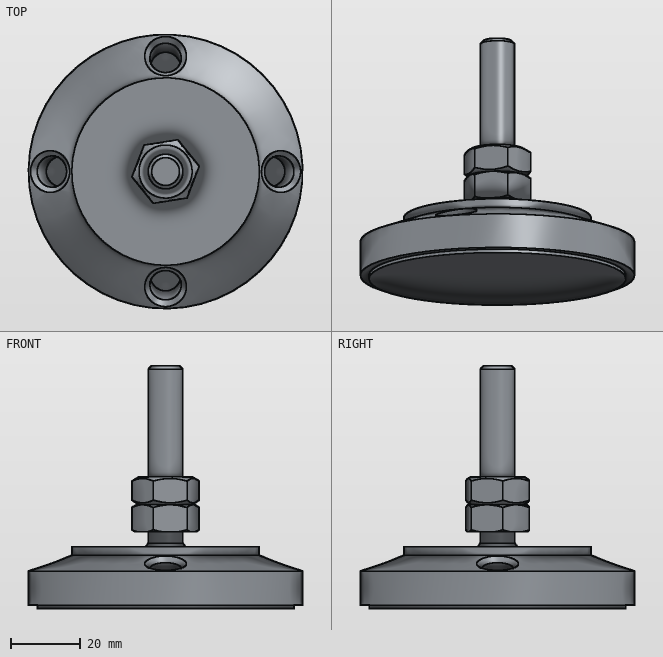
import cadquery as cq
import math

housing_diameter = 79.0
top_diameter = 54.0
housing_bottom = 1.0
rim_top = 10.85
shoulder_angle = 20.0
top_step_height = 2.5
shoulder_width = (housing_diameter - top_diameter) / 2
shoulder_top = rim_top + shoulder_width * math.tan(math.radians(shoulder_angle))
housing_top = shoulder_top + top_step_height

pad_diameter = 74.0
pad_thickness = 3.0

mounting_hole_count = 4
hole_spacing = 360 / mounting_hole_count
mounting_hole_diameter = 9.0
countersink_depth = 1.5
mounting_hole_length = 20.0
hole_circle_radius = (housing_diameter + top_diameter) / 4
hole_mouth_height = (rim_top + shoulder_top) / 2

overall_height = 70.03
rod_diameter = 10.0
rod_tip_chamfer = 1.0
foot_diameter = 12.95
flare_top = housing_top + 1.0
flare_height = 2.0

hex_across_flats = 17.0
hex_corner_diameter = hex_across_flats / math.cos(math.radians(30))
hex_turn = 9.0
hex_chamfer_angle = 30.0
stem_hex_bottom = 22.15
stem_hex_bottom_face = 17.6
stem_hex_top_face = 16.7
nut_bottom = 30.0
nut_top = 38.0
nut_face_diameter = 0.9 * hex_across_flats


def revolve_profile(points):
    """Turn a closed (radius, height) outline around the Z axis."""
    return cq.Workplane("XZ").polyline(points).close().revolve(360, (0, 0, 0), (0, 1, 0))


def cylinder(diameter, bottom, top):
    return cq.Workplane("XY").workplane(offset=bottom).circle(diameter / 2).extrude(top - bottom)


def corner_chamfer_height(face_diameter):
    return (hex_corner_diameter - face_diameter) / 2 * math.tan(math.radians(hex_chamfer_angle))


def chamfered_hexagon(bottom, top, bottom_face, top_face):
    """Hexagonal prism whose corners are turned down to a round face at each end."""
    prism = (
        cq.Workplane("XY")
        .workplane(offset=bottom)
        .polygon(6, hex_corner_diameter)
        .extrude(top - bottom)
        .rotate((0, 0, 0), (0, 0, 1), hex_turn)
    )
    turned_envelope = revolve_profile([
        (0, bottom),
        (bottom_face / 2, bottom),
        (hex_corner_diameter / 2, bottom + corner_chamfer_height(bottom_face)),
        (hex_corner_diameter / 2, top - corner_chamfer_height(top_face)),
        (top_face / 2, top),
        (0, top),
    ])
    return prism.intersect(turned_envelope)


def cut_mounting_hole(body, angle):
    """Cut a hole that leans inwards as it goes down, with its mouth edge chamfered."""
    turn = math.radians(angle)
    mouth_center = (
        hole_circle_radius * math.cos(turn),
        hole_circle_radius * math.sin(turn),
        hole_mouth_height,
    )
    drill = (
        cylinder(mounting_hole_diameter, -mounting_hole_length, mounting_hole_length)
        .rotate((0, 0, 0), (0, 1, 0), shoulder_angle)
        .rotate((0, 0, 0), (0, 0, 1), angle)
        .translate(mouth_center)
    )
    mouth_edge = cq.selectors.NearestToPointSelector(mouth_center)
    return body.cut(drill).edges(mouth_edge).chamfer(countersink_depth)


def make_pad():
    return cylinder(pad_diameter, 0, pad_thickness)


def make_housing():
    body = revolve_profile([
        (0, housing_bottom),
        (housing_diameter / 2, housing_bottom),
        (housing_diameter / 2, rim_top),
        (top_diameter / 2, shoulder_top),
        (top_diameter / 2, housing_top),
        (0, housing_top),
    ])
    body = body.rotate((0, 0, 0), (0, 0, 1), hole_spacing / 2)
    body = body.cut(cylinder(pad_diameter, housing_bottom, pad_thickness))
    body = body.cut(cylinder(foot_diameter, pad_thickness, housing_top))
    for index in range(mounting_hole_count):
        body = cut_mounting_hole(body, index * hole_spacing)
    return body


def make_stem():
    rod_and_foot = revolve_profile([
        (0, pad_thickness),
        (foot_diameter / 2, pad_thickness),
        (foot_diameter / 2, flare_top - flare_height),
        (rod_diameter / 2, flare_top),
        (rod_diameter / 2, overall_height - rod_tip_chamfer),
        (rod_diameter / 2 - rod_tip_chamfer, overall_height),
        (0, overall_height),
    ])
    hexagon = chamfered_hexagon(
        stem_hex_bottom, nut_bottom, stem_hex_bottom_face, stem_hex_top_face
    )
    return rod_and_foot.union(hexagon)


def make_nut():
    hexagon = chamfered_hexagon(nut_bottom, nut_top, nut_face_diameter, nut_face_diameter)
    return hexagon.cut(cylinder(rod_diameter, nut_bottom, nut_top))


pad = make_pad()
housing = make_housing()
stem = make_stem()
nut = make_nut()

result = cq.Compound.makeCompound([pad.val(), housing.val(), stem.val(), nut.val()])